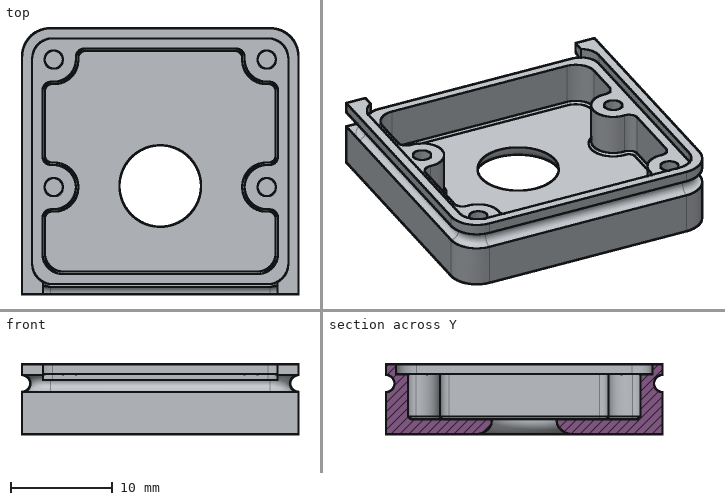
import cadquery as cq

width = 27.2
depth = 26.2
height = 6.9
corner_radius = 2.8

groove_bottom = 4.2
groove_top = 5.82
groove_radius = (groove_top - groove_bottom) / 2
groove_mid = (groove_top + groove_bottom) / 2

rim = 1.0
recess_floor = 5.93
recess_radius = 2.0
notch_inset = 2.1
notch_floor = 5.33

wall = 2.0
cavity_floor = 1.5
cavity_front_radius = 2.0
boss_fillet = 0.9
floor_bevel = 0.25

boss_radius = 2.18
boss_inset = 3.13
boss_rows = (10.55, depth - 3.1)
boss_points = [(x, y) for x in (boss_inset, width - boss_inset) for y in boss_rows]
screw_diameter = 1.8
screw_depth = 3.0

opening_diameter = 8.0
opening_y = 10.65
opening_rounding = 1.35


def block(inset, bottom, top):
    """Box inset equally from the four sides of the body."""
    return (
        cq.Workplane("XY", origin=(width / 2, depth / 2, bottom))
        .rect(width - 2 * inset, depth - 2 * inset)
        .extrude(top - bottom)
    )


def make_square_corners():
    """Material at the front corners that lies outside the rounded groove line."""
    slab = block(0, groove_bottom, groove_top)
    return slab.cut(slab.edges("|Z").fillet(corner_radius))


def make_channel():
    """Round channel: straight runs joined by quarter-torus corners."""
    r = corner_radius
    path = (
        cq.Workplane("XY", origin=(0, 0, groove_mid))
        .moveTo(width / 2, 0)
        .lineTo(width - r, 0)
        .radiusArc((width, r), -r)
        .lineTo(width, depth - r)
        .radiusArc((width - r, depth), -r)
        .lineTo(r, depth)
        .radiusArc((0, depth - r), -r)
        .lineTo(0, r)
        .radiusArc((r, 0), -r)
        .close()
    )
    profile = cq.Workplane("YZ", origin=(width / 2, 0, groove_mid)).circle(groove_radius)
    return profile.sweep(path)


def make_recess(bottom):
    """Rounded lid recess volume, from the given level to the top."""
    return block(rim, bottom, height).edges("|Z").fillet(recess_radius)


def make_notch():
    """Front opening in the rim, stopping at the outline of the recess."""
    notch = cq.Workplane("XY").box(
        width - 2 * notch_inset, wall, height - notch_floor, centered=False
    ).translate((notch_inset, 0, notch_floor))
    return notch.cut(make_recess(notch_floor))


def make_cavity():
    """Cavity that wraps round the bosses, with a bevel where it meets the floor."""
    cavity = block(wall, cavity_floor, recess_floor)
    cavity = cavity.edges("|Z and <Y").fillet(cavity_front_radius)
    bosses = (
        cq.Workplane("XY", origin=(0, 0, cavity_floor))
        .pushPoints(boss_points)
        .circle(boss_radius)
        .extrude(recess_floor - cavity_floor)
    )
    cavity = cavity.cut(bosses)
    meeting_edges = cq.selectors.BoxSelector(
        (0, boss_rows[0] / 2, 0), (width, depth, height)
    )
    cavity = cavity.edges("|Z").edges(meeting_edges).fillet(boss_fillet)
    return cavity.faces("<Z").chamfer(floor_bevel)


body = block(0, 0, height).edges("|Z and >Y").fillet(corner_radius)
body = body.cut(make_square_corners()).cut(make_channel())
body = body.cut(make_notch()).cut(make_recess(recess_floor)).cut(make_cavity())

screw_holes = (
    cq.Workplane("XY", origin=(0, 0, recess_floor - screw_depth))
    .pushPoints(boss_points)
    .circle(screw_diameter / 2)
    .extrude(screw_depth)
)
opening = (
    cq.Workplane("XY")
    .center(width / 2, opening_y)
    .circle(opening_diameter / 2)
    .extrude(cavity_floor)
)
body = body.cut(screw_holes).cut(opening)

result = body.faces("<Z").edges("%CIRCLE").edges(
    cq.selectors.NearestToPointSelector((width / 2, opening_y, 0))
).fillet(opening_rounding)